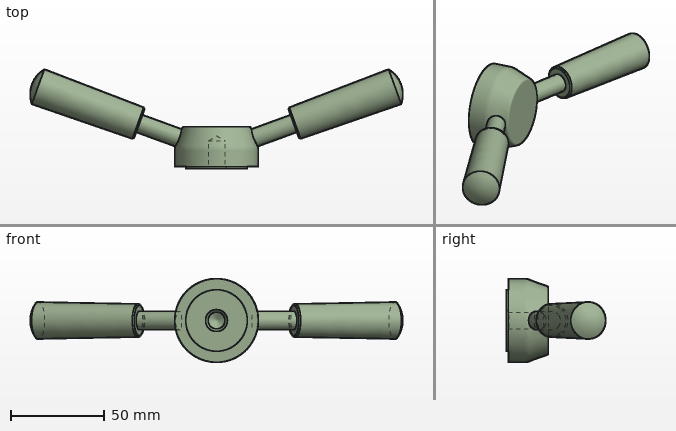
import cadquery as cq
import math

hub_radius = 45.0 / 2
lip_radius = 33.0 / 2
lip_height = 1.2
rim_top = 10.0
hub_height = 22.6
cone_angle = math.radians(20)
shoulder_round = 6.0
top_round = 1.5

hole_radius = 9.0 / 2
hole_depth = 15.0
hole_chamfer = 1.5
drill_half_angle = math.radians(59)

arm_angle = 20
arm_origin_y = 9.2
rod_radius = 10.0 / 2
grip_start = 44.0
grip_length = 57.8
grip_inner_radius = 9.0
grip_outer_radius = 10.0
grip_chamfer = 0.8
dome_height = 3.6


def revolve_about_y(profile):
    return profile.close().revolve(360, (0, 0, 0), (0, 1, 0))


def make_hub():
    def shoulder_point(angle):
        radius = hub_radius - shoulder_round * (1 - math.cos(angle))
        return radius, rim_top + shoulder_round * math.sin(angle)

    cone_base_radius, cone_base_y = shoulder_point(cone_angle)
    cone_top_radius = cone_base_radius - (hub_height - cone_base_y) * math.tan(cone_angle)
    hub = revolve_about_y(
        cq.Workplane("XY")
        .lineTo(lip_radius, 0)
        .lineTo(lip_radius, lip_height)
        .lineTo(hub_radius, lip_height)
        .lineTo(hub_radius, rim_top)
        .threePointArc(shoulder_point(cone_angle / 2), (cone_base_radius, cone_base_y))
        .lineTo(cone_top_radius, hub_height)
        .lineTo(0, hub_height)
    )
    return hub.faces(">Y").edges().fillet(top_round)


def make_hole():
    drill_point = hole_radius / math.tan(drill_half_angle)
    return revolve_about_y(
        cq.Workplane("XY")
        .lineTo(hole_radius + hole_chamfer, 0)
        .lineTo(hole_radius, hole_chamfer)
        .lineTo(hole_radius, hole_depth)
        .lineTo(0, hole_depth + drill_point)
    )


def make_arm():
    grip_end = grip_start + grip_length
    dome_radius = (dome_height**2 + grip_outer_radius**2) / (2 * dome_height)
    dome_centre = grip_end + dome_height - dome_radius
    dome_half_angle = math.asin(grip_outer_radius / dome_radius) / 2
    dome_middle = (
        dome_radius * math.sin(dome_half_angle),
        dome_centre + dome_radius * math.cos(dome_half_angle),
    )
    arm = revolve_about_y(
        cq.Workplane("XY")
        .lineTo(rod_radius, 0)
        .lineTo(rod_radius, grip_start)
        .lineTo(grip_inner_radius - grip_chamfer, grip_start)
        .lineTo(grip_inner_radius, grip_start + grip_chamfer)
        .lineTo(grip_outer_radius, grip_end)
        .threePointArc(dome_middle, (0, grip_end + dome_height))
    )
    return arm.rotate((0, 0, 0), (0, 0, 1), arm_angle - 90).translate((0, arm_origin_y, 0))


right_arm = make_arm()
left_arm = right_arm.mirror("YZ")
result = make_hub().union(right_arm).union(left_arm).cut(make_hole())